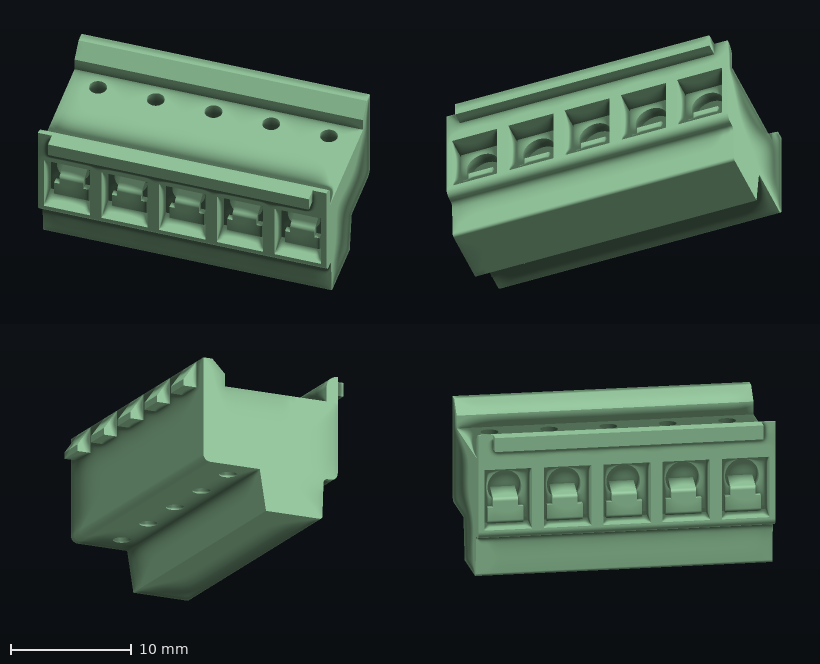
import cadquery as cq
import math

length = 25.0
pole_count = 5
pole_pitch = length / pole_count
body_depth = 12.4
height = 12.55
body_bottom = 3.55
deck_height = 10.3
bottom_corner_radius = 0.62

front_wall_thickness = 1.02
front_wall_radius = 1.0
back_wall_thickness = 1.98
back_wall_crest_width = 0.82
back_wall_chamfer_height = 1.15

stem_front_top = 1.3
stem_front_bottom = 1.42
stem_back_top = 7.2
stem_back_bottom = 6.62
stem_root_radius = 0.35
stem_tip_radius = 0.25

rail_length = 22.6
rail_projection = 1.1
rail_height = 1.2
hook_width = 2.4
hook_projection = 1.2
hook_tip_height = 0.58

screw_hole_diameter = 1.5
screw_hole_y = 8.9

pocket_width = 4.0
pocket_top = 9.52
pocket_bottom = 4.32
pocket_depth = 2.0
pocket_floor_rise = 0.15
plate_width = 3.8
plate_bottom = 4.85
plate_thickness = 0.15
wire_hole_radius = 1.42
wire_hole_z = 7.52

clamp_face_y = 1.3
clamp_width = 3.0
clamp_neck_width = 2.1
clamp_shoulder_z = 5.92
clamp_top = 7.28
clamp_bottom = pocket_bottom + pocket_floor_rise
clamp_bottom_radius = 0.32
clamp_nose_bottom = 6.42
clamp_ramp_angle = 20.0
clamp_nose_radius = 0.4

clamp_ramp = math.radians(clamp_ramp_angle)
nose_end_y = clamp_face_y + clamp_nose_radius * (1 - math.sin(clamp_ramp))
nose_end_z = clamp_nose_bottom + clamp_nose_radius * math.cos(clamp_ramp)
wire_hole_end = nose_end_y + (clamp_top - nose_end_z) / math.tan(clamp_ramp)

pole_centres = [(i - (pole_count - 1) / 2) * pole_pitch for i in range(pole_count)]


def extrude_along_x(profile, width, centre_x=0.0):
    """Extrude a closed YZ profile by width, centred on centre_x."""
    return profile.extrude(width / 2, both=True).translate((centre_x, 0, 0))


def box_between(x_centre, width, y_start, y_end, z_start, z_end):
    """Box centred on x_centre, spanning the given Y and Z ranges."""
    size = (width, y_end - y_start, z_end - z_start)
    corner_box = cq.Workplane("XY").box(*size, centered=(True, False, False))
    return corner_box.translate((x_centre, y_start, z_start))


def make_body():
    back_wall_inner = body_depth - back_wall_thickness
    profile = (
        cq.Workplane("YZ")
        .moveTo(0, body_bottom)
        .lineTo(0, height)
        .lineTo(front_wall_thickness - front_wall_radius, height)
        .radiusArc((front_wall_thickness, height - front_wall_radius), front_wall_radius)
        .lineTo(front_wall_thickness, deck_height)
        .lineTo(back_wall_inner, deck_height)
        .lineTo(back_wall_inner, height - back_wall_chamfer_height)
        .lineTo(body_depth - back_wall_crest_width, height)
        .lineTo(body_depth, height)
        .lineTo(body_depth, body_bottom)
        .close()
    )
    body = extrude_along_x(profile, length)
    return body.faces("<Z").edges("|X").fillet(bottom_corner_radius)


def round_edge_at(solid, y, z, radius):
    edge = cq.selectors.NearestToPointSelector((0, y, z))
    return solid.edges(edge).fillet(radius)


def add_stem(body):
    stem_root = deck_height / 2
    stem_outline = [
        (stem_front_top, stem_root),
        (stem_front_top, body_bottom),
        (stem_front_bottom, 0),
        (stem_back_bottom, 0),
        (stem_back_top, body_bottom),
        (stem_back_top, stem_root),
    ]
    stem = extrude_along_x(cq.Workplane("YZ").polyline(stem_outline).close(), length)
    joined = body.union(stem)
    joined = round_edge_at(joined, stem_front_top, body_bottom, stem_root_radius)
    return round_edge_at(joined, stem_front_bottom, 0, stem_tip_radius)


def make_rail():
    return box_between(0, rail_length, -rail_projection, 0, height - rail_height, height)


def make_hook(x):
    hook_back = body_depth + hook_projection
    outline = [
        (body_depth, deck_height),
        (hook_back, deck_height),
        (hook_back, deck_height + hook_tip_height),
        (body_depth, height),
    ]
    return extrude_along_x(cq.Workplane("YZ").polyline(outline).close(), hook_width, x)


def make_pocket(x):
    """Wire entry: pocket with a rising floor, a raised plate on its back wall and a round hole."""
    outline = [
        (0, pocket_bottom),
        (0, pocket_top),
        (pocket_depth, pocket_top),
        (pocket_depth, pocket_bottom + pocket_floor_rise),
    ]
    pocket = extrude_along_x(cq.Workplane("YZ").polyline(outline).close(), pocket_width, x)
    plate_front = pocket_depth - plate_thickness
    plate = box_between(x, plate_width, plate_front, pocket_depth, plate_bottom, pocket_top)
    hole_start = cq.Workplane("XZ", origin=(x, 0, wire_hole_z))
    hole = hole_start.circle(wire_hole_radius).extrude(-wire_hole_end)
    return pocket.cut(plate).union(hole)


def make_clamp(x):
    """Clamp jaw: wide rounded foot and a narrower neck with a ramp leading into the wire hole."""
    profile = (
        cq.Workplane("YZ")
        .moveTo(clamp_face_y + clamp_bottom_radius, clamp_bottom)
        .radiusArc((clamp_face_y, clamp_bottom + clamp_bottom_radius), clamp_bottom_radius)
        .lineTo(clamp_face_y, clamp_nose_bottom)
        .radiusArc((nose_end_y, nose_end_z), clamp_nose_radius)
        .lineTo(wire_hole_end, clamp_top)
        .lineTo(wire_hole_end, clamp_bottom)
        .close()
    )
    jaw = extrude_along_x(profile, clamp_width, x)
    foot_envelope = box_between(x, clamp_width, 0, wire_hole_end, 0, clamp_shoulder_z)
    neck_envelope = box_between(x, clamp_neck_width, 0, wire_hole_end, 0, height)
    return jaw.intersect(foot_envelope.union(neck_envelope))


def make_screw_holes():
    centres = [(pole_x, screw_hole_y) for pole_x in pole_centres]
    return cq.Workplane("XY").pushPoints(centres).circle(screw_hole_diameter / 2).extrude(height)


result = add_stem(make_body()).union(make_rail())
for pole_x in pole_centres:
    result = result.union(make_hook(pole_x))
    result = result.cut(make_pocket(pole_x))
    result = result.union(make_clamp(pole_x))
result = result.cut(make_screw_holes())